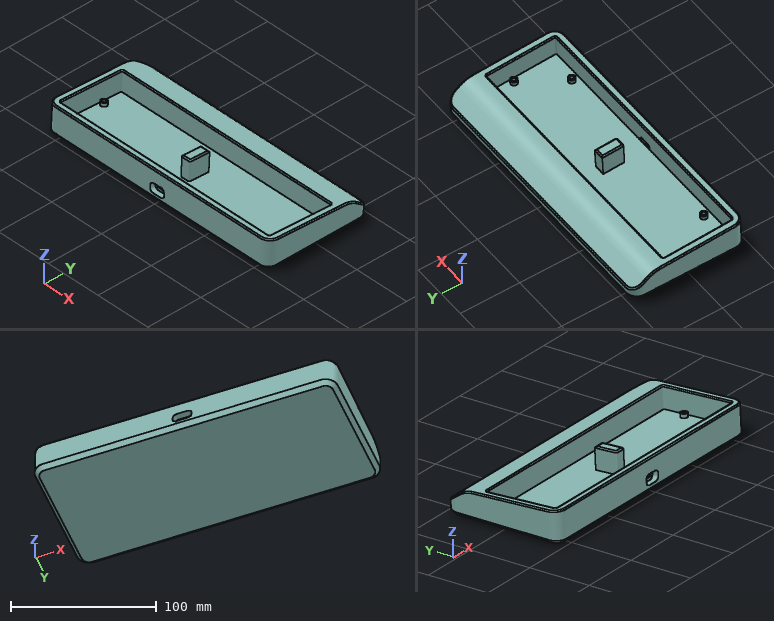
import cadquery as cq
import math

width = 223.5
length = 95.2
top_height = 23.5
lean_angle = 3.0
corner_radius = 9.0
base_chamfer = 3.4
rim_chamfer = 1.0

slope_angle = 33.5
slope_length = 17.0
ridge_radius = 22.3

pocket_width = 210.0
pocket_front = -41.0
pocket_rear = 17.2
pocket_depth = 17.9
pocket_corner_radius = 1.1

block_width = 9.0
block_front = -21.5
block_rear = -3.0
block_height = 17.6
block_corner_radius = 1.3
block_chamfer = 1.1

boss_diameter = 5.5
boss_hole_diameter = 3.1
boss_height = 3.1
boss_pairs = [(101.2, -2.7), (78.5, -35.3)]

port_level = 7.5
port_width = 14.0
port_height = 8.0
port_corner_radius = 3.4
port_recess_depth = 5.0
slot_width = 10.3
slot_height = 3.4

front = -length / 2
rear = length / 2
front_wall = pocket_front - front
floor_level = top_height - pocket_depth
raw_bottom = -11.2


def is_rim_edge(edge):
    """True for edges along the outer rim: not at the bottom, not upright, not across the top."""
    reaches_bottom = edge.BoundingBox().zmin < 0
    middle = edge.positionAt(0.5)
    crosses_top = abs(middle.x) < width / 4 and front / 2 < middle.y < rear - slope_length / 4
    return not reaches_bottom and not crosses_top


def make_shell():
    """Solid case with rounded upright corners, a blended rear slope and a bevelled rim."""
    plan = (
        cq.Workplane("XY", origin=(0, 0, raw_bottom))
        .rect(width, length)
        .extrude(top_height - raw_bottom)
        .edges("|Z")
        .fillet(corner_radius)
    )
    ridge_y = rear - slope_length
    slope_foot = top_height - slope_length * math.tan(math.radians(slope_angle))
    profile = (
        cq.Workplane("YZ")
        .moveTo(front, raw_bottom)
        .lineTo(rear, raw_bottom)
        .lineTo(rear, slope_foot)
        .lineTo(ridge_y, top_height)
        .lineTo(front, top_height)
        .close()
        .extrude(width / 2, both=True)
        .edges(cq.selectors.NearestToPointSelector((0, ridge_y, top_height)))
        .fillet(ridge_radius)
    )
    shell = plan.intersect(profile)
    rim = [edge for edge in shell.edges().vals() if is_rim_edge(edge)]
    return shell.newObject(rim).chamfer(rim_chamfer)


def cut_pocket(body):
    """Open the pocket in the top and bevel its mouth."""
    pocket = (
        cq.Workplane("XY", origin=(0, (pocket_front + pocket_rear) / 2, floor_level))
        .rect(pocket_width, pocket_rear - pocket_front)
        .extrude(pocket_depth)
        .edges("|Z")
        .fillet(pocket_corner_radius)
    )
    opened = body.cut(pocket)
    mouth = opened.faces(">Z").val().innerWires()[0]
    return opened.newObject(mouth.Edges()).chamfer(rim_chamfer)


def cut_port(body):
    """Rounded recess in the front wall with a narrower slot on through to the pocket."""
    face = cq.Workplane("XZ", origin=(0, front, port_level))
    recess = (
        face.rect(port_width, port_height)
        .extrude(-port_recess_depth)
        .edges("|Y")
        .fillet(port_corner_radius)
    )
    slot = face.slot2D(slot_width, slot_height).extrude(-front_wall)
    return body.cut(recess).cut(slot)


def make_block():
    """Block with rounded front corners and a bevelled top."""
    return (
        cq.Workplane("XY", origin=(0, (block_front + block_rear) / 2, floor_level))
        .rect(block_width, block_rear - block_front)
        .extrude(block_height)
        .faces("<Y").edges("|Z")
        .fillet(block_corner_radius)
        .faces(">Z").edges()
        .chamfer(block_chamfer)
    )


def make_bosses():
    """Hollow screw bosses, mirrored to both sides."""
    places = [(side * x, y) for x, y in boss_pairs for side in (-1, 1)]
    return (
        cq.Workplane("XY", origin=(0, 0, floor_level))
        .pushPoints(places)
        .circle(boss_diameter / 2)
        .circle(boss_hole_diameter / 2)
        .extrude(boss_height)
    )


def lean_back(body):
    """Raise the front by turning the body about the X axis."""
    return body.rotate((0, 0, 0), (1, 0, 0), -lean_angle)


def level_base(body):
    """Cut the body flat at Z = 0 and bevel the bottom outline."""
    ground = cq.Workplane("XY").rect(2 * width, 2 * length).extrude(2 * raw_bottom)
    return body.cut(ground).faces("<Z").edges().chamfer(base_chamfer)


case = cut_port(cut_pocket(make_shell()))
fittings = make_block().union(make_bosses())
result = level_base(lean_back(case)).union(lean_back(fittings))